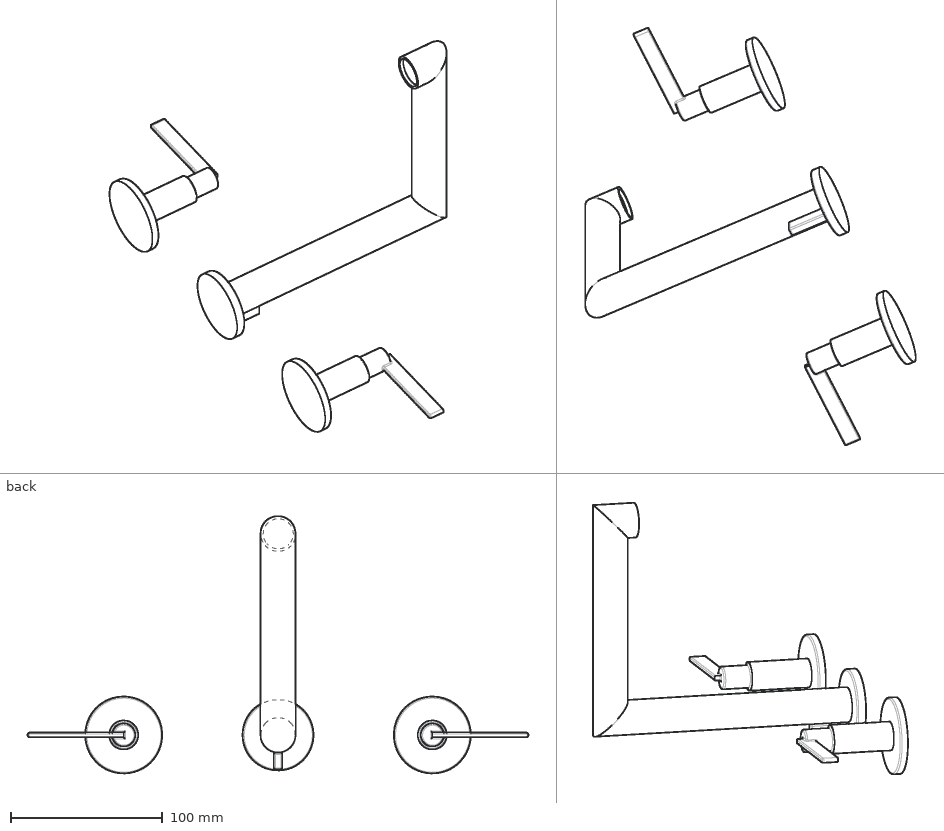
import cadquery as cq

EDGE_ROUNDING = 1.0

TUBE_RADIUS = 11.5
SPOUT_REACH = 180.0
SPOUT_TOP = 144.3
OUTLET_LENGTH = 28.0
OUTLET_RECESS_RADIUS = 10.0
OUTLET_RECESS_DEPTH = 2.5
SPOUT_FLANGE_RADIUS = 23.5
SPOUT_FLANGE_THICKNESS = 6.3

KNOB_WIDTH = 5.5
KNOB_LENGTH = 25.8
KNOB_HEIGHT = 11.0

HANDLE_AXIS_X = 101.7
HANDLE_FLANGE_RADIUS = 25.5
HANDLE_FLANGE_THICKNESS = 5.3
POST_RADIUS = 9.5
POST_TOP = 46.0
STEM_RADIUS = 7.5
STEM_TOP = 64.7
LEVER_TIP_X = 165.0
LEVER_NEAR_Y = 58.0
LEVER_FAR_Y = 69.0
LEVER_THICKNESS = 3.3
LEVER_FAR_ROUNDING = 0.83
LEVER_NEAR_ROUNDING = 0.5


def y_cylinder(radius, y_start, y_end, z=0):
    """Cylinder whose axis runs along Y through x = 0 at the given z."""
    return (
        cq.Workplane("XZ", origin=(0, y_start, z))
        .circle(radius)
        .extrude(y_start - y_end)
    )


def make_spout():
    rise_y = SPOUT_REACH - TUBE_RADIUS
    outlet_y = SPOUT_REACH - OUTLET_LENGTH
    outlet_z = SPOUT_TOP - TUBE_RADIUS
    center_line = (
        cq.Workplane("YZ")
        .moveTo(0, 0)
        .lineTo(rise_y, 0)
        .lineTo(rise_y, outlet_z)
        .lineTo(outlet_y, outlet_z)
    )
    tube = cq.Workplane("XZ").circle(TUBE_RADIUS).sweep(center_line, transition="right")
    flange = (
        y_cylinder(SPOUT_FLANGE_RADIUS, 0, SPOUT_FLANGE_THICKNESS)
        .edges(">Y")
        .fillet(EDGE_ROUNDING)
    )
    recess_end_y = outlet_y + OUTLET_RECESS_DEPTH
    recess = y_cylinder(OUTLET_RECESS_RADIUS, outlet_y, recess_end_y, z=outlet_z)
    return tube.union(flange).cut(recess)


def make_knob():
    """Block with every edge rounded except those around its foot on the flange."""
    return (
        cq.Workplane("XY", origin=(0, SPOUT_FLANGE_THICKNESS, -TUBE_RADIUS - KNOB_HEIGHT))
        .box(KNOB_WIDTH, KNOB_LENGTH, KNOB_HEIGHT, centered=(True, False, False))
        .edges("not <Y")
        .fillet(EDGE_ROUNDING)
    )


def make_column():
    """Flange, post and stem of a handle, revolved about the handle axis."""
    r = EDGE_ROUNDING
    profile = (
        cq.Workplane("XY", origin=(HANDLE_AXIS_X, 0, 0))
        .lineTo(HANDLE_FLANGE_RADIUS, 0)
        .lineTo(HANDLE_FLANGE_RADIUS, HANDLE_FLANGE_THICKNESS - r)
        .tangentArcPoint((-r, r), relative=True)
        .lineTo(POST_RADIUS, HANDLE_FLANGE_THICKNESS)
        .lineTo(POST_RADIUS, POST_TOP)
        .lineTo(STEM_RADIUS + r, POST_TOP)
        .tangentArcPoint((-r, r), relative=True)
        .lineTo(STEM_RADIUS, STEM_TOP - r)
        .tangentArcPoint((-r, r), relative=True)
        .lineTo(0, STEM_TOP)
        .close()
    )
    return profile.revolve(360, (0, 0, 0), (0, 1, 0))


def make_lever():
    """Flat bar from the handle axis out along +X, with a full-round tip and rounded long sides."""
    half_thickness = LEVER_THICKNESS / 2
    tip_center_x = LEVER_TIP_X - half_thickness
    return (
        cq.Workplane("XZ", origin=(0, LEVER_NEAR_Y, 0))
        .moveTo(HANDLE_AXIS_X, -half_thickness)
        .lineTo(tip_center_x, -half_thickness)
        .threePointArc((LEVER_TIP_X, 0), (tip_center_x, half_thickness))
        .lineTo(HANDLE_AXIS_X, half_thickness)
        .close()
        .extrude(LEVER_NEAR_Y - LEVER_FAR_Y)
        .faces(">Y")
        .edges("not <X")
        .fillet(LEVER_FAR_ROUNDING)
        .faces("<Y")
        .edges("not <X")
        .fillet(LEVER_NEAR_ROUNDING)
    )


def make_handle(side):
    """Handle on the +X side (side = 1) or, mirrored, on the -X side (side = -1) of the spout."""
    margin = 0.3
    root_edges = cq.selectors.BoxSelector(
        (HANDLE_AXIS_X - margin, LEVER_NEAR_Y - margin, -LEVER_THICKNESS),
        (HANDLE_AXIS_X + STEM_RADIUS + margin, STEM_TOP + margin, LEVER_THICKNESS),
        boundingbox=True,
    )
    handle = make_column().union(make_lever()).edges(root_edges).fillet(EDGE_ROUNDING)
    return handle if side > 0 else handle.mirror("YZ")


spout = make_spout()
knob = make_knob()
handles = [make_handle(side) for side in (-1, 1)]

result = cq.Compound.makeCompound(
    [body.solids().val() for body in (spout, knob, *handles)]
)